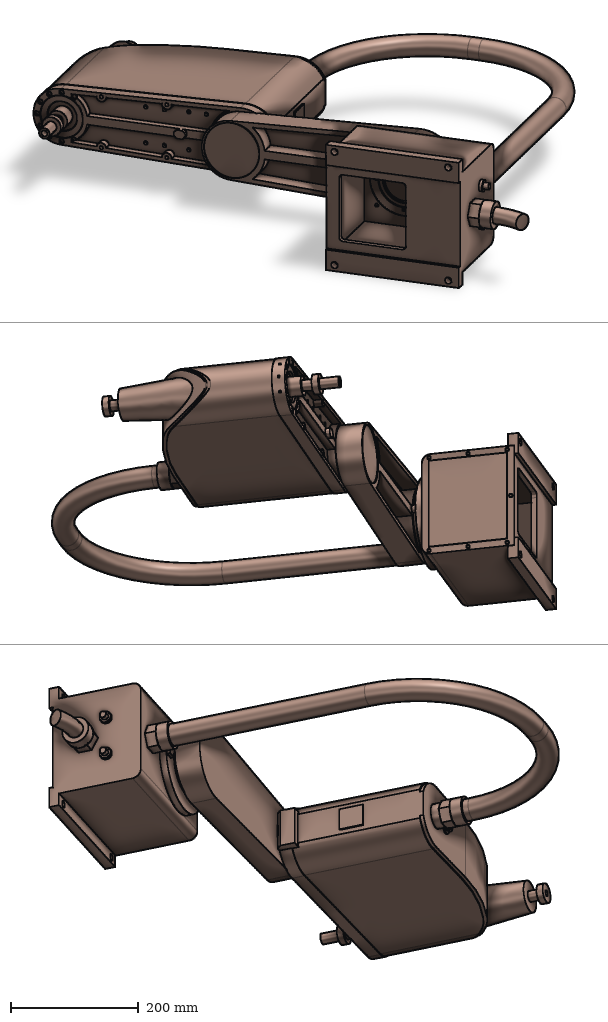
import cadquery as cq
import math


overall_length = 887.0
overall_depth = 210.0
link_length = 300.0
elbow_x = -link_length
quill_x = -2 * link_length

base_left = -75.0
base_right = 146.0
base_bottom = 6.0
base_top = 156.0
base_half_width = 84.0
base_edge_radius = 14.0
foot_inner = 71.0
foot_outer = overall_depth / 2
foot_height = 17.0
foot_hole_diameter = 11.0
foot_hole_x = (-61.0, 129.0)
foot_hole_z = 95.0
panel_thickness = 2.0
panel_inset = 11.5
panel_screw_diameter = 5.5
window_size = 112.0
window_corner_radius = 7.0
base_wall = 9.0
cavity_top = 147.0
motor_mount_radius = 57.0
motor_mount_height = 3.0
motor_groove_radii = (31.0, 36.0, 43.0)
motor_groove_step = 3.0
motor_screw_diameter = 5.5
motor_screw_offset = 46.0

shoulder_flange_radius = 73.0
shoulder_flange_top = 168.0
shoulder_neck_radius = 43.0
shoulder_ring_radius = 51.0
shoulder_ring_bottom = 173.0
stop_pin_diameter = 12.0
stop_pin_x = -64.0
stop_pin_top = 175.0
stop_block_x = 62.0
stop_block_size = 16.0
stop_block_top = 173.0

arm_bottom = 177.0
arm_top = 220.0
arm_elbow_radius = 50.0
arm_shoulder_radius = 62.0
arm_wall = 8.0
arm_pocket_depth = 27.0
hub_clearance_radius = 56.0
cap_radius = 46.0
cap_depth = 2.0
rib_width = 14.0

head_bottom = arm_top
head_seam = 241.0
head_top = 466.0
head_quill_radius = 47.0
head_elbow_radius = 56.0
head_right = elbow_x + 49.0
cover_inset = 1.0
rim_inset = 3.0
rim_height = 6.0
head_side_top = 337.0
crown_bend = (89.0, 442.0)
crown_start = 231.0
lip_length = 16.0
lip_right = elbow_x + 61.0
lip_top = 252.0
lip_half_width = 31.0
lip_chamfer = 7.0
name_plate_bottom_y = 324.0
name_plate_top_y = 364.0
name_plate_half_width = 18.0
name_plate_thickness = 3.0
head_wall = 7.0
head_pocket_depth = 13.0
quill_clearance_radius = 43.5
head_hub_radius = 52.0
tapped_hole_diameter = 6.0
tapped_hole_depth = 7.0
tapped_hole_places = ((136.0, 30.0), (167.0, 30.0), (208.0, 32.0), (237.0, 32.0))
boss_diameter = 16.0
boss_hole_diameter = 5.5
boss_places = ((66.5, 43.0), (176.0, 44.0))
stop_pad_x = quill_x + 200.0
stop_pad_length = 19.5
stop_pad_height = 7.0
rim_screw_circle_radius = 41.0
rim_screw_diameter = 8.0
rim_screw_depth = 5.0
rim_screw_count = 9
rim_screw_start = 60
rim_screw_step = 30
side_screw_diameter = 3.3
side_screw_y = 230.0
side_screw_depth = 3.0
seal_recess_radius = 35.5
seal_recess_depth = 3.0
nut_recess_radius = 25.0
nut_recess_depth = 7.0

cone_top = 497.0
cone_top_radius = 26.0
cone_base_y = 319.0
cone_base_radius = 40.0
shaft_diameter = 18.0
shaft_bore = 10.0
shaft_bottom = 144.0
shaft_top = 525.0
collar_diameter = 32.0
collar_height = 11.0
lower_collar_y = 175.0
sleeve_bottom = 203.0

button_x = elbow_x - 38.0
button_steps = ((22.0, 2.0), (11.5, 3.5), (17.0, 3.0), (10.0, 3.0))

hose_right_x = 109.0
hose_diameter = 35.5
hose_bend_radius = 195.0
hose_spring_y = 528.0
socket_diameter = 40.0
socket_height = 14.0
gland_diameter = 44.0
gland_nut_height = 19.0
gland_collar_height = 19.5

cable_y = 61.0
cable_diameter = 27.0
cable_bend_angle = 28
connector_y = 98.0
connector_z = 32.0
connector_flange_diameter = 19.0
connector_flange_length = 5.0
connector_body_diameter = 11.0
connector_body_length = 14.0


def cylinder(x, z, diameter, y_from, y_to):
    """Cylinder parallel to Y."""
    plane = cq.Workplane("XZ", origin=(x, y_from, z))
    return plane.circle(diameter / 2).extrude(y_from - y_to)


def block(x_from, x_to, y_from, y_to, half_width):
    """Box centred on Z = 0."""
    box = cq.Workplane("XY").box(x_to - x_from, y_to - y_from, 2 * half_width, centered=(False, False, True))
    return box.translate((x_from, y_from, 0))


def tapered_link(x_left, radius_left, x_right, radius_right, y_from, y_to):
    """Two round ends joined by their outer tangent lines."""
    lean = math.asin((radius_right - radius_left) / (x_right - x_left))
    left_x = x_left - radius_left * math.sin(lean)
    left_z = radius_left * math.cos(lean)
    right_x = x_right - radius_right * math.sin(lean)
    right_z = radius_right * math.cos(lean)
    outline = (
        cq.Workplane("XZ", origin=(0, y_from, 0))
        .moveTo(left_x, left_z)
        .lineTo(right_x, right_z)
        .threePointArc((x_right + radius_right, 0), (right_x, -right_z))
        .lineTo(left_x, -left_z)
        .threePointArc((x_left - radius_left, 0), (left_x, left_z))
        .close()
    )
    return outline.extrude(y_from - y_to)


def hose_gland(x, y_from):
    """Hexagon nut with a round collar on top."""
    nut_top = y_from + gland_nut_height
    nut = cq.Workplane("XZ", origin=(x, y_from, 0)).polygon(6, gland_diameter).extrude(-gland_nut_height)
    return nut.union(cylinder(x, 0, gland_diameter, nut_top, nut_top + gland_collar_height))


def make_arm():
    arm = tapered_link(elbow_x, arm_elbow_radius, 0, arm_shoulder_radius, arm_bottom, arm_top)
    pocket_top = arm_bottom + arm_pocket_depth
    pocket = tapered_link(
        elbow_x, arm_elbow_radius - arm_wall, 0, arm_shoulder_radius - arm_wall, arm_bottom, pocket_top
    )
    for hub_x in (elbow_x, 0):
        pocket = pocket.cut(cylinder(hub_x, 0, 2 * hub_clearance_radius, arm_bottom, pocket_top))
    pocket = pocket.cut(block(elbow_x, 0, arm_bottom, pocket_top, rib_width / 2))
    cap_recess = cylinder(elbow_x, 0, 2 * cap_radius, arm_bottom, arm_bottom + cap_depth)
    return arm.cut(pocket).cut(cap_recess)


def base_section(x_from, x_to):
    """Base profile with rounded upper edges, extruded along X."""
    box = block(x_from, x_to, base_bottom, base_top, base_half_width)
    return box.edges("|X and >Y").fillet(base_edge_radius)


def make_base():
    base = base_section(base_left, base_right)
    for side in (-1, 1):
        foot = block(base_left, base_right, 0, foot_height, (foot_outer - foot_inner) / 2)
        base = base.union(foot.translate((0, 0, side * (foot_inner + foot_outer) / 2)))
    for side in (-1, 1):
        for x in foot_hole_x:
            base = base.cut(cylinder(x, side * foot_hole_z, foot_hole_diameter, 0, foot_height))
    return add_shoulder(add_side_panel(base.cut(motor_window())))


def motor_window():
    """Square opening into the hollow base, with the motor mount on the roof of the cavity."""
    half = window_size / 2
    window_top = base_bottom + base_wall
    cavity_half_width = base_half_width - base_wall
    mount_bottom = cavity_top - motor_mount_height
    inner, middle, outer = motor_groove_radii

    window = block(-half, half, 0, window_top, half).edges("|Y").fillet(window_corner_radius)
    cavity = block(base_left + base_wall, base_right - base_wall, window_top, cavity_top, cavity_half_width)
    cavity = cavity.cut(cylinder(0, 0, 2 * motor_mount_radius, mount_bottom, cavity_top))
    groove = cylinder(0, 0, 2 * outer, mount_bottom, mount_bottom + motor_groove_step)
    groove = groove.union(cylinder(0, 0, 2 * middle, mount_bottom, mount_bottom + 2 * motor_groove_step))
    groove = groove.cut(cylinder(0, 0, 2 * inner, mount_bottom, cavity_top + motor_groove_step))
    window = window.union(cavity).union(groove)
    screw_top = cavity_top + motor_groove_step
    for x in (-motor_screw_offset, 0, motor_screw_offset):
        for z in (-motor_screw_offset, 0, motor_screw_offset):
            if x or z:
                window = window.union(cylinder(x, z, motor_screw_diameter, mount_bottom, screw_top))
    return window


def add_side_panel(base):
    """Stepped cover on the left side of the base, held by screws round its frame."""
    frame_left = base_left - panel_thickness
    base = base.union(base_section(frame_left, base_left))
    screw_top = base_top - panel_inset
    screw_bottom = base_bottom + panel_inset
    raised_left = frame_left - panel_thickness
    raised_half_width = base_half_width - panel_inset
    base = base.union(block(raised_left, frame_left, screw_bottom, screw_top, raised_half_width))
    screw_z = base_half_width - panel_inset / 2
    screw_middle = (screw_top + screw_bottom) / 2
    places = [(side * screw_z, y) for side in (-1, 1) for y in (screw_bottom, screw_middle, screw_top)]
    places.append((0, base_bottom + panel_inset / 2))
    for z, y in places:
        plane = cq.Workplane("YZ", origin=(frame_left, y, z))
        base = base.cut(plane.circle(panel_screw_diameter / 2).extrude(panel_thickness))
    return base


def add_shoulder(base):
    """Bearing flange and neck that carry the arm, with its two rotation stops."""
    base = base.union(cylinder(0, 0, 2 * shoulder_flange_radius, base_top, shoulder_flange_top))
    base = base.union(cylinder(0, 0, 2 * shoulder_neck_radius, base_top, arm_bottom))
    base = base.union(cylinder(0, 0, 2 * shoulder_ring_radius, shoulder_ring_bottom, arm_bottom))
    base = base.union(cylinder(stop_pin_x, 0, stop_pin_diameter, base_top, stop_pin_top))
    block_end = stop_block_x + stop_block_size / 2
    block_start = stop_block_x - stop_block_size / 2
    return base.union(block(block_start, block_end, base_top, stop_block_top, stop_block_size / 2))


def make_connectors():
    """Power cable leaving a gland, and two small connectors above it."""
    collar_left = base_right + gland_nut_height
    cable_left = collar_left + gland_collar_height
    side = cq.Workplane("YZ", origin=(base_right, cable_y, 0))
    parts = side.polygon(6, gland_diameter).extrude(gland_nut_height)
    collar = cq.Workplane("YZ", origin=(collar_left, cable_y, 0))
    parts = parts.union(collar.circle(gland_diameter / 2).extrude(gland_collar_height))

    right_end = quill_x - head_quill_radius + overall_length
    angle = math.radians(cable_bend_angle)
    bend_radius = (right_end - cable_left) / math.sin(angle) - cable_diameter / 2
    cable = cq.Workplane("YZ", origin=(cable_left, cable_y, 0)).circle(cable_diameter / 2)
    cable = cable.revolve(cable_bend_angle, (-bend_radius, 0), (-bend_radius, -1))
    parts = parts.union(cable)

    for z in (-connector_z, connector_z):
        plane = cq.Workplane("YZ", origin=(base_right, connector_y, z))
        parts = parts.union(plane.circle(connector_flange_diameter / 2).extrude(connector_flange_length))
        parts = parts.union(plane.circle(connector_body_diameter / 2).extrude(connector_body_length))
    return parts


def cover_shell(inset, drop):
    """Cover of the head, drawn in from the base plate by inset with its top lowered by drop."""
    tip_x = quill_x - head_quill_radius
    full = tapered_link(
        quill_x, head_quill_radius - inset, elbow_x, head_elbow_radius - inset, head_seam, head_top
    )
    side_profile = (
        cq.Workplane("XY", origin=(0, 0, -head_elbow_radius))
        .moveTo(head_right, head_seam)
        .lineTo(head_right, head_top - drop)
        .lineTo(tip_x + crown_start, head_top - drop)
        .tangentArcPoint((tip_x + crown_bend[0], crown_bend[1] - drop), relative=False)
        .tangentArcPoint((tip_x, head_side_top), relative=False)
        .lineTo(tip_x, head_seam)
        .close()
        .extrude(2 * head_elbow_radius)
    )
    return full.intersect(side_profile)


def head_underside(plate):
    """Pockets, ribs, bosses and screw holes in the underside of the head."""
    pocket_top = head_bottom + head_pocket_depth
    quill_end = head_quill_radius - head_wall
    elbow_end = head_elbow_radius - head_wall
    pocket = tapered_link(quill_x, quill_end, elbow_x, elbow_end, head_bottom, pocket_top)
    pocket = pocket.cut(cylinder(quill_x, 0, 2 * quill_clearance_radius, head_bottom, pocket_top))
    pocket = pocket.cut(cylinder(elbow_x, 0, 2 * head_hub_radius, head_bottom, pocket_top))
    pocket = pocket.cut(block(quill_x, elbow_x, head_bottom, pocket_top, rib_width / 2))
    for side in (-1, 1):
        for x, z in boss_places:
            boss = cylinder(quill_x + x, side * z, boss_diameter, head_bottom, pocket_top)
            boss_hole = cylinder(quill_x + x, side * z, boss_hole_diameter, head_bottom, pocket_top)
            pocket = pocket.cut(boss).union(boss_hole)
        for x, z in tapped_hole_places:
            hole_top = pocket_top + tapped_hole_depth
            tapped_hole = cylinder(quill_x + x, side * z, tapped_hole_diameter, head_bottom, hole_top)
            pocket = pocket.union(tapped_hole)
    plate = plate.cut(pocket)

    pad = cq.Workplane("XZ", origin=(stop_pad_x, head_bottom, 0)).slot2D(stop_pad_length, rib_width)
    return plate.union(pad.extrude(stop_pad_height))


def quill_mount(plate):
    """Recesses and screws round the quill, at the rounded end of the base plate."""
    seal_top = head_bottom + seal_recess_depth
    nut_top = head_bottom + nut_recess_depth
    plate = plate.cut(cylinder(quill_x, 0, 2 * seal_recess_radius, head_bottom, seal_top))
    plate = plate.cut(cylinder(quill_x, 0, 2 * nut_recess_radius, head_bottom, nut_top))
    for index in range(rim_screw_count):
        degrees = rim_screw_start + index * rim_screw_step
        angle = math.radians(degrees)
        x = quill_x + rim_screw_circle_radius * math.cos(angle)
        z = rim_screw_circle_radius * math.sin(angle)
        plate = plate.cut(cylinder(x, z, rim_screw_diameter, head_bottom, head_bottom + rim_screw_depth))
    for degrees in (-rim_screw_step, 0, rim_screw_step):
        hole = cq.Workplane("YZ", origin=(quill_x - head_quill_radius, side_screw_y, 0))
        hole = hole.circle(side_screw_diameter / 2).extrude(side_screw_depth)
        plate = plate.cut(hole.rotate((quill_x, 0, 0), (quill_x, 1, 0), degrees))
    return plate


def make_head():
    plate = tapered_link(quill_x, head_quill_radius, elbow_x, head_elbow_radius, head_bottom, head_seam)
    lip = block(lip_right - lip_length, lip_right, head_bottom, lip_top, lip_half_width)
    plate = plate.union(lip.edges("|Z and >X and <Y").chamfer(lip_chamfer))
    head = quill_mount(head_underside(plate))
    head = head.union(cover_shell(cover_inset, rim_height))
    head = head.union(cover_shell(rim_inset, 0))
    name_plate_right = head_right + name_plate_thickness
    head = head.union(
        block(elbow_x, name_plate_right, name_plate_bottom_y, name_plate_top_y, name_plate_half_width)
    )
    step_y = head_top
    for diameter, height in button_steps:
        head = head.union(cylinder(button_x, 0, diameter, step_y, step_y + height))
        step_y += height
    return add_shaft(head)


def add_shaft(head):
    """Conical ball-screw cover and the hollow shaft with its two collars."""
    cone = (
        cq.Workplane("XZ", origin=(quill_x, cone_base_y, 0))
        .circle(cone_base_radius)
        .workplane(offset=cone_base_y - cone_top)
        .circle(cone_top_radius)
        .loft()
    )
    head = head.union(cone)
    head = head.union(cylinder(quill_x, 0, shaft_diameter, shaft_bottom, shaft_top))
    head = head.union(cylinder(quill_x, 0, collar_diameter, sleeve_bottom, head_seam))
    for collar_y in (lower_collar_y, shaft_top - collar_height):
        head = head.union(cylinder(quill_x, 0, collar_diameter, collar_y, collar_y + collar_height))
    return head.cut(cylinder(quill_x, 0, shaft_bore, shaft_bottom, shaft_top))


def make_hose():
    """Arched hose from the base to the head, with a gland at each end."""
    left_gland_y = head_top + socket_height
    hose_left_bottom = left_gland_y + gland_nut_height + gland_collar_height
    hose_right_bottom = base_top + gland_nut_height + gland_collar_height
    crown_y = hose_spring_y + hose_bend_radius
    path = (
        cq.Workplane("XY")
        .moveTo(elbow_x, hose_left_bottom)
        .lineTo(elbow_x, hose_spring_y)
        .tangentArcPoint((elbow_x + hose_bend_radius, crown_y), relative=False)
        .lineTo(hose_right_x - hose_bend_radius, crown_y)
        .tangentArcPoint((hose_right_x, hose_spring_y), relative=False)
        .lineTo(hose_right_x, hose_right_bottom)
    )
    start = cq.Workplane("XZ", origin=(elbow_x, hose_left_bottom, 0))
    hose = start.circle(hose_diameter / 2).sweep(path)
    hose = hose.union(cylinder(elbow_x, 0, socket_diameter, head_top, left_gland_y))
    hose = hose.union(hose_gland(elbow_x, left_gland_y))
    return hose.union(hose_gland(hose_right_x, base_top))


arm = make_arm()
robot_body = make_base().union(make_connectors()).union(make_hose()).union(make_head())

result = cq.Compound.makeCompound([arm.solids().val(), robot_body.solids().val()])